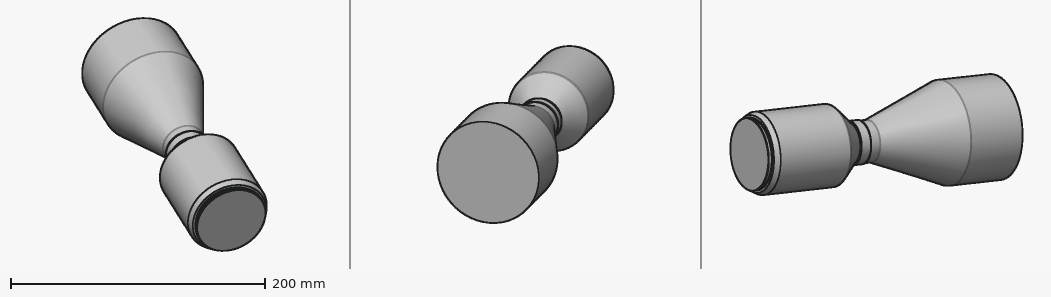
import cadquery as cq

total_length = 226.5
head_diameter = 84.0
head_radius = head_diameter / 2
head_end = 47.8
neck_radius = 17.0
neck_start = 116.2
ring_radius = 17.7
ring_start = 124.6
ring_end = 133.5
flare_start = 134.5
body_radius = 33.0
body_start = 153.0
body_end = 217.8
shoulder_radius = 30.8
tip_radius = 29.0
tip_start = 222.5

joint_fillet = 1.8
relief_end = 223.5
relief_depth = 0.5
rim_chamfer = 0.5

profile = [
    (0, 0),
    (0, head_radius),
    (head_end, head_radius),
    (neck_start, neck_radius),
    (ring_start, neck_radius),
    (ring_start, ring_radius),
    (ring_end, ring_radius),
    (ring_end, neck_radius),
    (flare_start, neck_radius),
    (body_start, body_radius),
    (body_end, body_radius),
    (tip_start, shoulder_radius),
    (tip_start, tip_radius - relief_depth),
    (relief_end, tip_radius - relief_depth),
    (relief_end, tip_radius),
    (total_length - rim_chamfer, tip_radius),
    (total_length, tip_radius - rim_chamfer),
    (total_length, 0),
]

result = (
    cq.Workplane("XY")
    .polyline(profile)
    .close()
    .revolve(360, (0, 0, 0), (1, 0, 0))
)


def round_joint(part, position, radius):
    """Round the circular edge of the given radius at a position along X."""
    reach = radius + joint_fillet
    step = joint_fillet / 2
    near_joint = cq.selectors.BoxSelector(
        (position - step, -reach, -reach),
        (position + step, reach, reach),
        boundingbox=True,
    )
    return part.edges(near_joint).fillet(joint_fillet)


for joint_position, joint_radius in (
    (head_end, head_radius),
    (neck_start, neck_radius),
    (body_start, body_radius),
):
    result = round_joint(result, joint_position, joint_radius)